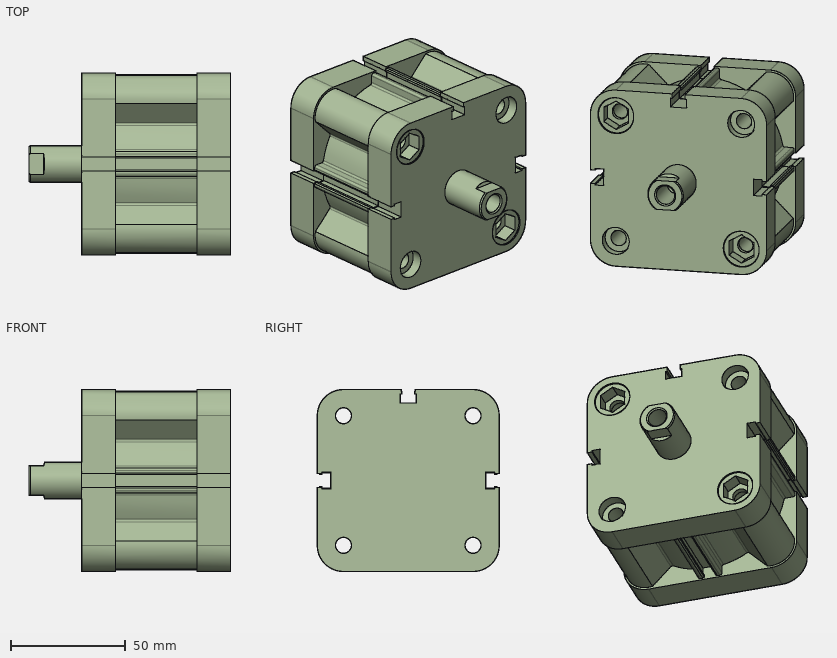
import cadquery as cq
import math


ROD_PROJECTION = 23.1
CAP_LENGTH = 14.8
BARREL_LENGTH = 35.4
HOUSING_LENGTH = 2 * CAP_LENGTH + BARREL_LENGTH

CAP_WIDTH = 79.5
BOLT_OFFSET = 28.25
CAP_CORNER_RADIUS = CAP_WIDTH / 2 - BOLT_OFFSET
CAP_SLOT_HALF_WIDTH = 3.7
CAP_SLOT_MOUTH_HALF_WIDTH = 3.0

SLOT_DEPTH = 6.0
SLOT_LIP = 2.1
BARREL_FLOOR_STEP = 0.1
CAP_SLOT_FLOOR = CAP_WIDTH / 2 - SLOT_DEPTH
BARREL_SLOT_FLOOR = CAP_SLOT_FLOOR + BARREL_FLOOR_STEP
SLOT_LIP_BOTTOM = CAP_WIDTH / 2 - SLOT_LIP

TUBE_RADIUS = 34.5
POST_RADIUS = 10.6
POST_WEB_HALF_WIDTH = 8.6
ROOT_FILLET = 1.0

RAIL_TOP = 39.1
RAIL_HALF_WIDTH = 5.5
RAIL_ROUND = 1.1
RAIL_SLOT_HALF_WIDTH = 3.3
RAIL_MOUTH_HALF_WIDTH = 2.6
RAIL_MOUTH_CHAMFER = 0.4

BOLT_HOLE_RADIUS = 3.4
COUNTERBORE_RADIUS = 6.1
COUNTERBORE_DEPTH = 4.9

SCREW_RADIUS = 7.9
SCREW_RECESS_RADIUS = 8.1
SCREW_SETBACK = 0.5
SCREW_LENGTH = 9.0
SOCKET_ACROSS_FLATS = 11.1
SOCKET_DEPTH = 6.5
SOCKET_SIDES = 6

ROD_RADIUS = 8.0
ROD_INSERTION = CAP_LENGTH
ROD_TIP_CHAMFER_LENGTH = 0.7
ROD_TIP_CHAMFER_DEPTH = 0.4
FLAT_HALF_HEIGHT = 6.5
FLAT_LENGTH = 6.4
FLAT_SHOULDER_SLOPE = 0.4
ROD_BORE_RADIUS = 4.1
ROD_BORE_MOUTH_RADIUS = 4.75
ROD_BORE_DEPTH = 19.4
DRILL_POINT_ANGLE = 118

EDGE_TOLERANCE = 0.01

SCREW_POSITIONS = [(BOLT_OFFSET, BOLT_OFFSET), (-BOLT_OFFSET, -BOLT_OFFSET)]
OPEN_HOLE_POSITIONS = [(BOLT_OFFSET, -BOLT_OFFSET), (-BOLT_OFFSET, BOLT_OFFSET)]

DIAGONAL_TURN = 45
QUARTER_TURN = 90
HALF_TURN = 180
SIDE_TURNS = [side * QUARTER_TURN for side in range(4)]
CAP_SLOT_TURNS = SIDE_TURNS[:3]


def section(x):
    """Workplane at the given X whose local x, y are the part's Y, Z."""
    return cq.Workplane("YZ", origin=(x, 0, 0))


def turned(shape, angle):
    """Copy of a shape turned about the cylinder axis."""
    return shape.rotate((0, 0, 0), (1, 0, 0), angle)


def make_cap_slot(x):
    """T-slot cutter for the +Y side of an end cap."""
    outer = CAP_WIDTH / 2
    return (
        section(x)
        .polyline([
            (CAP_SLOT_FLOOR, -CAP_SLOT_HALF_WIDTH),
            (SLOT_LIP_BOTTOM, -CAP_SLOT_HALF_WIDTH),
            (SLOT_LIP_BOTTOM, -CAP_SLOT_MOUTH_HALF_WIDTH),
            (outer, -CAP_SLOT_MOUTH_HALF_WIDTH),
            (outer, CAP_SLOT_MOUTH_HALF_WIDTH),
            (SLOT_LIP_BOTTOM, CAP_SLOT_MOUTH_HALF_WIDTH),
            (SLOT_LIP_BOTTOM, CAP_SLOT_HALF_WIDTH),
            (CAP_SLOT_FLOOR, CAP_SLOT_HALF_WIDTH),
        ])
        .close()
        .extrude(CAP_LENGTH)
    )


def make_cap(x):
    """Square end cap with rounded corners and three slots."""
    cap = section(x).rect(CAP_WIDTH, CAP_WIDTH).extrude(CAP_LENGTH)
    cap = cap.edges("|X").fillet(CAP_CORNER_RADIUS)
    slot = make_cap_slot(x)
    for angle in CAP_SLOT_TURNS:
        cap = cap.cut(turned(slot, angle))
    return cap


def make_post():
    """Corner post on the +Y axis: a flat-sided web with a rounded nose, to be turned onto a diagonal."""
    nose_centre = BOLT_OFFSET * math.sqrt(2)
    nose_start = nose_centre + math.sqrt(POST_RADIUS**2 - POST_WEB_HALF_WIDTH**2)
    return (
        section(CAP_LENGTH)
        .moveTo(0, -POST_WEB_HALF_WIDTH)
        .lineTo(nose_start, -POST_WEB_HALF_WIDTH)
        .threePointArc((nose_centre + POST_RADIUS, 0), (nose_start, POST_WEB_HALF_WIDTH))
        .lineTo(0, POST_WEB_HALF_WIDTH)
        .close()
        .extrude(BARREL_LENGTH)
    )


def make_rail_block():
    """Block on the +Y side that carries the two rails of a slot."""
    block = section(CAP_LENGTH).rect(RAIL_TOP, 2 * RAIL_HALF_WIDTH).extrude(BARREL_LENGTH)
    block = block.translate((0, RAIL_TOP / 2, 0))
    return block.edges("|X and >Y").fillet(RAIL_ROUND)


def make_rail_slot():
    """Slot cutter between the two rails on the +Y side, with a chamfered mouth."""
    chamfer_bottom = RAIL_TOP - RAIL_MOUTH_CHAMFER
    half = [
        (BARREL_SLOT_FLOOR, RAIL_SLOT_HALF_WIDTH),
        (SLOT_LIP_BOTTOM, RAIL_SLOT_HALF_WIDTH),
        (SLOT_LIP_BOTTOM, RAIL_MOUTH_HALF_WIDTH),
        (chamfer_bottom, RAIL_MOUTH_HALF_WIDTH),
        (RAIL_TOP, RAIL_SLOT_HALF_WIDTH),
    ]
    mirrored = [(y, -z) for y, z in reversed(half)]
    return section(CAP_LENGTH).polyline(half + mirrored).close().extrude(BARREL_LENGTH)


def root_edges(barrel):
    """Edges along X that lie on the tube surface, where posts and rails meet it."""
    def on_tube(edge):
        centre = edge.Center()
        return abs(math.hypot(centre.y, centre.z) - TUBE_RADIUS) < EDGE_TOLERANCE

    return [edge for edge in barrel.edges("|X").vals() if on_tube(edge)]


def make_barrel():
    """Profiled barrel: round tube outline, four corner posts and a pair of rails on each side."""
    barrel = section(CAP_LENGTH).circle(TUBE_RADIUS).extrude(BARREL_LENGTH)
    post = make_post()
    rail_block = make_rail_block()
    for angle in SIDE_TURNS:
        barrel = barrel.union(turned(post, angle + DIAGONAL_TURN)).union(turned(rail_block, angle))
    barrel = barrel.newObject(root_edges(barrel)).fillet(ROOT_FILLET)

    rail_slot = make_rail_slot()
    for angle in SIDE_TURNS:
        barrel = barrel.cut(turned(rail_slot, angle))
    return barrel


def make_housing():
    """Caps and barrel in one piece, with the corner holes and the recess for the rod."""
    housing = make_barrel()
    for x in (0, CAP_LENGTH + BARREL_LENGTH):
        housing = housing.union(make_cap(x))

    holes = section(0).pushPoints(SCREW_POSITIONS + OPEN_HOLE_POSITIONS)
    housing = housing.cut(holes.circle(BOLT_HOLE_RADIUS).extrude(HOUSING_LENGTH))
    counterbores = section(0).pushPoints(OPEN_HOLE_POSITIONS)
    housing = housing.cut(counterbores.circle(COUNTERBORE_RADIUS).extrude(COUNTERBORE_DEPTH))
    screw_recesses = section(0).pushPoints(SCREW_POSITIONS)
    housing = housing.cut(screw_recesses.circle(SCREW_RECESS_RADIUS).extrude(SCREW_SETBACK + SCREW_LENGTH))
    return housing.cut(section(0).circle(ROD_RADIUS).extrude(ROD_INSERTION))


def make_screw(y, z):
    """Hollow screw, set slightly behind the front face, with a hexagon socket pointing along Z."""
    socket_diameter = SOCKET_ACROSS_FLATS / math.cos(math.pi / SOCKET_SIDES)
    socket = section(0).polygon(SOCKET_SIDES, socket_diameter).extrude(SOCKET_DEPTH)
    screw = section(0).circle(SCREW_RADIUS).circle(BOLT_HOLE_RADIUS).extrude(SCREW_LENGTH)
    return screw.cut(turned(socket, QUARTER_TURN)).translate((SCREW_SETBACK, y, z))


def make_rod_flat():
    """Cutter for the upper wrench flat, with a slightly sloped shoulder."""
    flat_end = FLAT_LENGTH - ROD_PROJECTION
    return (
        cq.Workplane("XZ", origin=(0, ROD_RADIUS, 0))
        .polyline([
            (-ROD_PROJECTION, FLAT_HALF_HEIGHT),
            (flat_end, FLAT_HALF_HEIGHT),
            (flat_end + FLAT_SHOULDER_SLOPE, ROD_RADIUS),
            (-ROD_PROJECTION, ROD_RADIUS),
        ])
        .close()
        .extrude(2 * ROD_RADIUS)
    )


def make_rod():
    """Piston rod with a chamfered tip, two wrench flats and a drilled bore."""
    tip = -ROD_PROJECTION
    bore_end = tip + ROD_BORE_DEPTH
    drill_point = bore_end + ROD_BORE_RADIUS / math.tan(math.radians(DRILL_POINT_ANGLE / 2))
    mouth_depth = ROD_BORE_MOUTH_RADIUS - ROD_BORE_RADIUS
    rod = (
        cq.Workplane("XZ")
        .polyline([
            (drill_point, 0),
            (bore_end, ROD_BORE_RADIUS),
            (tip + mouth_depth, ROD_BORE_RADIUS),
            (tip, ROD_BORE_MOUTH_RADIUS),
            (tip, ROD_RADIUS - ROD_TIP_CHAMFER_DEPTH),
            (tip + ROD_TIP_CHAMFER_LENGTH, ROD_RADIUS),
            (ROD_INSERTION, ROD_RADIUS),
            (ROD_INSERTION, 0),
        ])
        .close()
        .revolve(360, (0, 0, 0), (1, 0, 0))
    )
    flat = make_rod_flat()
    return rod.cut(flat).cut(turned(flat, HALF_TURN))


housing = make_housing()
rod = make_rod()
screws = [make_screw(y, z) for y, z in SCREW_POSITIONS]

result = cq.Compound.makeCompound([housing.val(), rod.val(), *[screw.val() for screw in screws]])